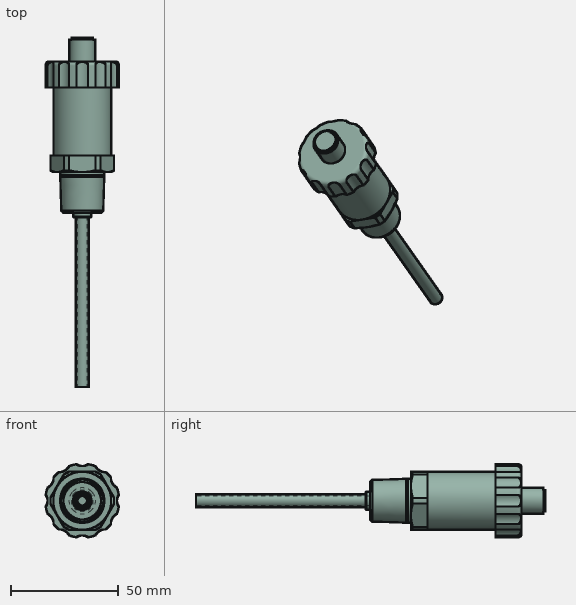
import cadquery as cq
import math


hex_across_flats = 27.0
hex_corner_diameter = 29.7
hex_height = 7.8
hex_chamfer_angle = 30.0

housing_diameter = hex_across_flats
cap_bottom = 39.2
cap_height = 12.2
cap_top = cap_bottom + cap_height
cap_diameter = 34.52
cap_fillet = 2.0
flute_count = 12
flute_radius = 5.0
flute_depth = 1.06

connector_end = 62.6
connector_tip_height = 1.0
connector_diameter = 12.2
connector_tip_diameter = 10.2

stub_length = 19.0
lip_diameter = 20.5
lip_height = 1.4
neck_diameter = 20.2
thread_start = 2.4
thread_diameter = 20.6
thread_taper = 1 / 16
thread_chamfer = 1.1

probe_length = 100.0
sleeve_diameter = 8.6
sleeve_length = 2.2
sleeve_chamfer = 0.6
tube_diameter = 6.2
core_diameter = 4.4


def rod(diameter, y_low, y_high):
    """Cylinder on the Y axis between two heights."""
    base = cq.Workplane("XZ", origin=(0, y_high, 0))
    return base.circle(diameter / 2).extrude(y_high - y_low)


def turned(profile):
    """Solid of revolution about Y from (radius, y) points that begin and end on the axis."""
    return cq.Workplane("XY").polyline(profile).close().revolve(360, (0, 0, 0), (0, 1, 0))


def make_hexagon():
    """Hexagon with flats facing +Z and -Z, turned corners and a chamfered lower face."""
    across_corners = hex_across_flats / math.cos(math.pi / 6)
    base = cq.Workplane("XZ", origin=(0, hex_height, 0))
    prism = base.polygon(6, across_corners).extrude(hex_height)

    flat_radius = hex_across_flats / 2
    corner_radius = hex_corner_diameter / 2
    chamfer_height = (corner_radius - flat_radius) * math.tan(math.radians(hex_chamfer_angle))
    envelope = turned([
        (0, 0),
        (flat_radius, 0),
        (corner_radius, chamfer_height),
        (corner_radius, hex_height),
        (0, hex_height),
    ])
    return prism.intersect(envelope)


def make_cap():
    """Cap with a rounded upper rim and grip flutes, one of them facing +X."""
    blank = rod(cap_diameter, cap_bottom, cap_top).faces(">Y").edges().fillet(cap_fillet)
    flute_circle_radius = cap_diameter / 2 - flute_depth + flute_radius
    flutes = (
        cq.Workplane("XZ", origin=(0, cap_top, 0))
        .polarArray(flute_circle_radius, 0, 360, flute_count)
        .circle(flute_radius)
        .extrude(cap_height)
    )
    return blank.cut(flutes)


def make_connector():
    tip_start = connector_end - connector_tip_height
    shank = rod(connector_diameter, cap_top, tip_start)
    return shank.union(rod(connector_tip_diameter, tip_start, connector_end))


def make_threaded_stub():
    """Lip, neck and tapered thread with a chamfered end as one turned profile."""
    lip_radius = lip_diameter / 2
    neck_radius = neck_diameter / 2
    start_radius = thread_diameter / 2
    thread_end = stub_length - thread_chamfer
    end_radius = start_radius - (thread_end - thread_start) * thread_taper / 2
    return turned([
        (0, 0),
        (lip_radius, 0),
        (lip_radius, -lip_height),
        (neck_radius, -lip_height),
        (neck_radius, -thread_start),
        (start_radius, -thread_start),
        (end_radius, -thread_end),
        (end_radius - thread_chamfer, -stub_length),
        (0, -stub_length),
    ])


def make_probe():
    sleeve = rod(sleeve_diameter, -stub_length - sleeve_length, -stub_length)
    sleeve = sleeve.faces("<Y").edges().chamfer(sleeve_chamfer)
    return sleeve.union(rod(tube_diameter, -probe_length, -stub_length))


def make_core():
    """Core flush with the tube tip and ending at the end face of the stub."""
    return rod(core_diameter, -probe_length, -stub_length)


def make_transmitter():
    """Housing with cap, connector, hexagon, stub and probe tube, bored for the core."""
    transmitter = rod(housing_diameter, hex_height, cap_bottom)
    for section in (make_hexagon(), make_cap(), make_connector(), make_threaded_stub(), make_probe()):
        transmitter = transmitter.union(section)
    return transmitter.cut(make_core())


transmitter = make_transmitter()
core = make_core()

result = cq.Compound.makeCompound([transmitter.val(), core.val()])